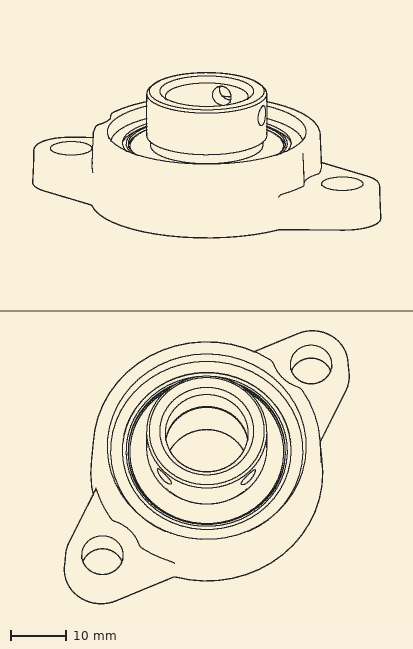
import cadquery as cq
import math

LENGTH = 67.0
DRAFT = 2.0

BOSS_RADIUS = 21.05
BOSS_HEIGHT = 13.1
BOSS_EDGE_FILLET = 0.7

EAR_HEIGHT = 6.55
EAR_END_RADIUS = 6.7
EAR_SIDE_ANGLE = 20.5
EAR_EDGE_FILLET = 0.5
EAR_ROOT_FILLET = 0.7
BOLT_OFFSET = 26.45
BOLT_HOLE_DIA = 7.5

SCALLOP_RADIUS = 6.7
SCALLOP_CORNER_FILLET = 1.7

MOUTH_TOP_RADIUS = 18.0
MOUTH_FLOOR_RADIUS = 17.4
MOUTH_FLOOR_Z = 11.0
SEAT_OPENING_RADIUS = 15.3
SEAT_CENTRE_Z = BOSS_HEIGHT / 2
SEAT_RADIUS = math.hypot(SEAT_OPENING_RADIUS, MOUTH_FLOOR_Z - SEAT_CENTRE_Z)

RACE_TOP_Z = 10.85
RACE_CHAMFER_HEIGHT = 0.55
SEAL_Z = 10.5
RACE_RIM_RADIUS = 14.6
SEAL_GROOVE_OUTER_DIA = 28.5
SEAL_GROOVE_INNER_DIA = 27.9
SEAL_GROOVE_DEPTH = 0.2
INNER_RING_DIA = 20.4
COLLAR_DIA = 21.8
COLLAR_BOTTOM_Z = 12.45
COLLAR_TOP_Z = 20.9
COLLAR_EDGE_CHAMFER = 0.5
BORE_DIA = 15.0
BORE_CHAMFER = 1.0
BORE_GROOVE_DIA = 18.4
BORE_GROOVE_Z = 13.5
BORE_GROOVE_WIDTH = 0.5
SET_SCREW_DIA = 3.6
SET_SCREW_Z = 17.6

RACE_BOTTOM_Z = 2 * SEAT_CENTRE_Z - RACE_TOP_Z


def drafted_disc(radius, height):
    """Disc standing on the base plane, narrowing upward by the draft."""
    return cq.Workplane("XY").circle(radius).extrude(height, taper=DRAFT)


def is_scallop_corner(edge):
    """True for the upright edges where a scallop meets the boss wall, off the XZ plane."""
    return edge.BoundingBox().zlen > BOSS_HEIGHT / 2 and abs(edge.Center().y) > SCALLOP_RADIUS / 4


def boss():
    """Round drafted boss with a scallop facing each bolt hole."""
    body = drafted_disc(BOSS_RADIUS, BOSS_HEIGHT)
    for side in (-1, 1):
        scallop = (
            cq.Workplane("XY")
            .center(side * BOLT_OFFSET, 0)
            .circle(SCALLOP_RADIUS)
            .extrude(BOSS_HEIGHT, taper=-DRAFT)
        )
        body = body.cut(scallop)
    corners = [edge for edge in body.edges().vals() if is_scallop_corner(edge)]
    body = body.newObject(corners).fillet(SCALLOP_CORNER_FILLET)
    return body.faces(">Z").edges().fillet(BOSS_EDGE_FILLET)


def ears():
    """Both ears as one sharp-edged drafted plate: two end arcs joined by sloping sides."""
    slope = math.radians(EAR_SIDE_ANGLE)
    end_centre = LENGTH / 2 - EAR_END_RADIUS
    tangent_x = end_centre + EAR_END_RADIUS * math.sin(slope)
    tangent_y = EAR_END_RADIUS * math.cos(slope)
    apex_y = tangent_y + tangent_x * math.tan(slope)
    return (
        cq.Workplane("XY")
        .moveTo(0, apex_y)
        .lineTo(tangent_x, tangent_y)
        .threePointArc((LENGTH / 2, 0), (tangent_x, -tangent_y))
        .lineTo(0, -apex_y)
        .lineTo(-tangent_x, -tangent_y)
        .threePointArc((-LENGTH / 2, 0), (-tangent_x, tangent_y))
        .close()
        .extrude(EAR_HEIGHT, taper=DRAFT)
    )


def is_ear_root(edge):
    """True for the upright corners where an ear side meets the round base."""
    return edge.BoundingBox().zlen > EAR_HEIGHT / 2 and abs(edge.Center().x) < BOSS_RADIUS


def flange():
    """Lower slab of the housing: round base with both ears blended into it."""
    slab = drafted_disc(BOSS_RADIUS, EAR_HEIGHT).union(ears())
    roots = [edge for edge in slab.edges().vals() if is_ear_root(edge)]
    slab = slab.newObject(roots).fillet(EAR_ROOT_FILLET)
    return slab.faces(">Z").edges().fillet(EAR_EDGE_FILLET)


def make_housing():
    """Flange and boss with a conical mouth, a spherical seat and two bolt holes."""
    body = flange().union(boss())
    mouth = (
        cq.Workplane("XZ")
        .moveTo(0, MOUTH_FLOOR_Z)
        .lineTo(MOUTH_FLOOR_RADIUS, MOUTH_FLOOR_Z)
        .lineTo(MOUTH_TOP_RADIUS, BOSS_HEIGHT)
        .lineTo(0, BOSS_HEIGHT)
        .close()
        .revolve(360, (0, 0), (0, 1))
    )
    seat = cq.Workplane("XY").sphere(SEAT_RADIUS).translate((0, 0, SEAT_CENTRE_Z))
    bolt_holes = (
        cq.Workplane("XY")
        .pushPoints([(-BOLT_OFFSET, 0), (BOLT_OFFSET, 0)])
        .circle(BOLT_HOLE_DIA / 2)
        .extrude(EAR_HEIGHT)
    )
    return body.cut(mouth).cut(seat).cut(bolt_holes)


def ring(outer_dia, inner_dia, bottom_z, height):
    """Plain ring about the Z axis."""
    return (
        cq.Workplane("XY", origin=(0, 0, bottom_z))
        .circle(outer_dia / 2)
        .circle(inner_dia / 2)
        .extrude(height)
    )


def seat_radius_at(z):
    """Radius of the spherical seat's cross-section at height z."""
    return math.sqrt(SEAT_RADIUS**2 - (z - SEAT_CENTRE_Z)**2)


def insert_blank():
    """Revolved insert: spherical outer race, inner ring and collar around one bore."""
    bore = BORE_DIA / 2
    collar = COLLAR_DIA / 2
    inner_ring = INNER_RING_DIA / 2
    bevel_z = RACE_TOP_Z - RACE_CHAMFER_HEIGHT
    bevel_radius = seat_radius_at(bevel_z)
    low_rim = seat_radius_at(RACE_BOTTOM_Z)
    return (
        cq.Workplane("XZ")
        .moveTo(bore, RACE_BOTTOM_Z)
        .lineTo(low_rim, RACE_BOTTOM_Z)
        .threePointArc((SEAT_RADIUS, SEAT_CENTRE_Z), (bevel_radius, bevel_z))
        .lineTo(RACE_RIM_RADIUS, RACE_TOP_Z)
        .lineTo(SEAL_GROOVE_OUTER_DIA / 2, RACE_TOP_Z)
        .lineTo(SEAL_GROOVE_OUTER_DIA / 2, SEAL_Z)
        .lineTo(inner_ring, SEAL_Z)
        .lineTo(inner_ring, COLLAR_BOTTOM_Z)
        .lineTo(collar, COLLAR_BOTTOM_Z)
        .lineTo(collar, COLLAR_TOP_Z - COLLAR_EDGE_CHAMFER)
        .lineTo(collar - COLLAR_EDGE_CHAMFER, COLLAR_TOP_Z)
        .lineTo(bore + BORE_CHAMFER, COLLAR_TOP_Z)
        .lineTo(bore, COLLAR_TOP_Z - BORE_CHAMFER)
        .close()
        .revolve(360, (0, 0), (0, 1))
    )


def make_bearing():
    """Bearing insert with its seal groove, bore groove and two set-screw holes."""
    body = insert_blank()
    body = body.cut(ring(SEAL_GROOVE_OUTER_DIA, SEAL_GROOVE_INNER_DIA,
                         SEAL_Z - SEAL_GROOVE_DEPTH, SEAL_GROOVE_DEPTH))
    body = body.cut(ring(BORE_GROOVE_DIA, BORE_DIA, BORE_GROOVE_Z, BORE_GROOVE_WIDTH))
    for direction in ((1, 0, 0), (0, 1, 0)):
        screw_hole = cq.Solid.makeCylinder(
            SET_SCREW_DIA / 2, COLLAR_DIA, cq.Vector(0, 0, SET_SCREW_Z), cq.Vector(*direction))
        body = body.cut(cq.Workplane(screw_hole))
    return body


housing = make_housing()
bearing = make_bearing()

result = cq.Compound.makeCompound([housing.val(), bearing.val()])